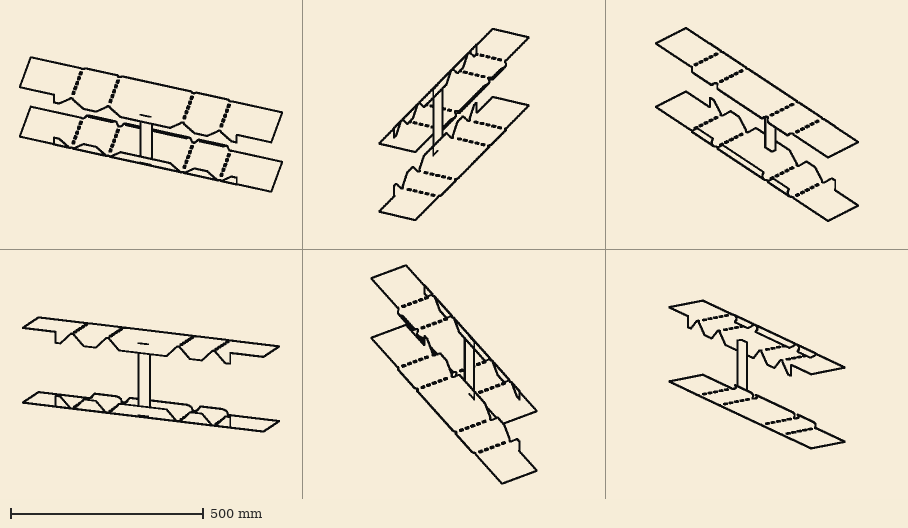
import cadquery as cq
import math

track_length = 680.0
track_depth = 114.0
frame_height = 204.0
sheet = 1.5

fold_pitch = 100.0
fold_places = [-2 * fold_pitch, -fold_pitch, fold_pitch, 2 * fold_pitch]

flange_bend = 3.0
flange_height = 30.0
flange_half_length = 247.0

hook_bend = 7.0
hook_turn = math.radians(150)
lip_length = 8.0
hook_half_length = 2 * fold_pitch

slot_width = 5.0
slot_length = 8.0
slot_pitch = 17.0
slot_count = 5
slot_row_center = 56.5

notch_half_width = 3.05
plate_notch_width = slot_width
plate_notch_depth = 1.5

stud_width = 30.0
stud_depth = 15.0
stud_bend = 3.5
stud_end_gap = 4.0

plate_front = flange_bend
plate_rear = track_depth - hook_bend


def extrude_along_x(outline, half_length):
    """Extrude a closed (Y, Z) outline to both sides of X = 0."""
    return outline.close().extrude(half_length, both=True)


def notch_cutters(plane, height, depth):
    """Prisms with a V outline on the given plane, widening at 45 degrees, one per fold line."""
    top_half_width = notch_half_width + height
    cutter = (
        cq.Workplane(plane)
        .moveTo(-notch_half_width, 0)
        .lineTo(-top_half_width, height)
        .lineTo(top_half_width, height)
        .lineTo(notch_half_width, 0)
        .close()
        .extrude(depth)
    )
    return [cutter.translate((x, 0, 0)) for x in fold_places]


def cut_all(body, cutters):
    for cutter in cutters:
        body = body.cut(cutter)
    return body


def make_flange():
    """Front bend and upright flange, notched at the fold lines."""
    inner_bend = flange_bend - sheet
    diagonal = math.sqrt(0.5)
    outline = (
        cq.Workplane("YZ")
        .moveTo(flange_bend, 0)
        .threePointArc(
            (flange_bend - flange_bend * diagonal, flange_bend - flange_bend * diagonal),
            (0, flange_bend),
        )
        .lineTo(0, flange_height)
        .lineTo(sheet, flange_height)
        .lineTo(sheet, flange_bend)
        .threePointArc(
            (flange_bend - inner_bend * diagonal, flange_bend - inner_bend * diagonal),
            (flange_bend, sheet),
        )
    )
    flange = extrude_along_x(outline, flange_half_length)
    return cut_all(flange, notch_cutters("XZ", flange_height, -track_depth))


def hook_point(radius, turn, along_lip=0.0):
    """(Y, Z) point on the hook bend, or beyond it along the tangent."""
    y = plate_rear + radius * math.sin(turn) + along_lip * math.cos(turn)
    z = hook_bend - radius * math.cos(turn) + along_lip * math.sin(turn)
    return (y, z)


def make_hook():
    """Rear bend and lip, notched at the fold lines."""
    inner_bend = hook_bend - sheet
    outline = (
        cq.Workplane("YZ")
        .moveTo(*hook_point(hook_bend, 0))
        .threePointArc(hook_point(hook_bend, hook_turn / 2), hook_point(hook_bend, hook_turn))
        .lineTo(*hook_point(hook_bend, hook_turn, lip_length))
        .lineTo(*hook_point(inner_bend, hook_turn, lip_length))
        .lineTo(*hook_point(inner_bend, hook_turn))
        .threePointArc(hook_point(inner_bend, hook_turn / 2), hook_point(inner_bend, 0))
    )
    hook = extrude_along_x(outline, hook_half_length)
    side_notches = notch_cutters("XZ", flange_height, -track_depth)
    rear_notches = [
        cutter.translate((0, plate_rear, 0))
        for cutter in notch_cutters("XY", hook_bend, hook_bend)
    ]
    return cut_all(hook, side_notches + rear_notches)


def make_plate():
    """Flat plate with slots along the fold lines and small rectangular notches at their ends."""
    plate = cq.Workplane("XY").box(
        track_length, plate_rear - plate_front, sheet, centered=(True, False, False)
    ).translate((0, plate_front, 0))

    slot_places = [
        (x, slot_row_center + slot_pitch * (i - (slot_count - 1) / 2))
        for x in fold_places
        for i in range(slot_count)
    ]
    slots = cq.Workplane("XY").pushPoints(slot_places).rect(slot_width, slot_length).extrude(sheet)

    notch_places = [(x, y) for x in fold_places for y in (plate_front, plate_rear)]
    notches = (
        cq.Workplane("XY")
        .pushPoints(notch_places)
        .rect(plate_notch_width, 2 * plate_notch_depth)
        .extrude(sheet)
    )
    return plate.cut(slots).cut(notches)


def make_track(is_top):
    """One track; the top one is the bottom one mirrored about the middle of the frame."""
    track = make_plate().union(make_flange()).union(make_hook())
    if is_top:
        track = track.mirror("XY", (0, 0, frame_height / 2))
    return track.solids().val()


def make_stud():
    """Upright rectangular tube standing against the rear faces of the flanges."""
    stud_height = frame_height - 2 * stud_end_gap
    outer = (
        cq.Workplane("XY")
        .rect(stud_width, stud_depth)
        .extrude(stud_height)
        .edges("|Z")
        .fillet(stud_bend)
    )
    bore = (
        cq.Workplane("XY")
        .rect(stud_width - 2 * sheet, stud_depth - 2 * sheet)
        .extrude(stud_height)
        .edges("|Z")
        .fillet(stud_bend - sheet)
    )
    return outer.cut(bore).translate((0, sheet + stud_depth / 2, stud_end_gap))


tracks = [make_track(is_top) for is_top in (False, True)]
stud = make_stud().solids().val()

result = cq.Compound.makeCompound([*tracks, stud])